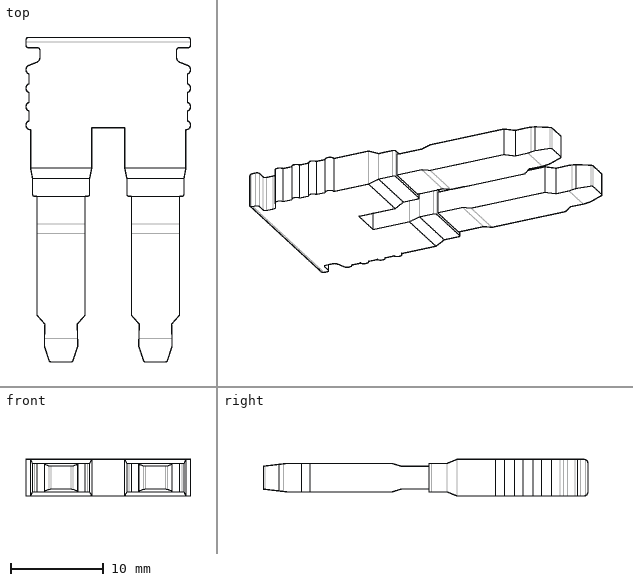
import cadquery as cq
import math

LENGTH = 35.1
BODY_THICKNESS = 4.0
HALF_WIDTH = 8.9

CAP_DEPTH = 1.15
CAP_CORNER_RADIUS = 0.3
CAP_EDGE_RADIUS = 0.5

WAIST_HALF_WIDTH = 7.4
WAIST_CAP_FILLET = 0.25
WAIST_RIB_FILLET = 0.5
SHOULDER_ANGLE = 22.0

RIB_COUNT = 4
RIB_RADIUS = 0.5
RIB_PITCH = 2.0
FIRST_RIB_DEPTH = 3.5
RIB_VALLEY_HALF_WIDTH = 8.57
RIB_CENTER_X = HALF_WIDTH - RIB_RADIUS

SLOT_WIDTH = 3.54
SLOT_TOP_DEPTH = 9.8
LEG_END_DEPTH = 14.15

COLLAR_START_DEPTH = 15.25
COLLAR_END_DEPTH = 17.2
COLLAR_WIDTH = 6.2
COLLAR_CORNER_RADIUS = 0.25

PIN_PITCH = 10.2
PIN_WIDTH = 5.2
PIN_THICKNESS = 3.1
THIN_THICKNESS = 2.5
RAMP_START_DEPTH = 20.2
RAMP_END_DEPTH = 21.2
NECK_START_DEPTH = 30.05
NECK_END_DEPTH = 31.0
NECK_WIDTH = 3.52
TIP_BASE_DEPTH = 32.9
TIP_BASE_WIDTH = 3.62
TIP_BEVEL_DEPTH = 32.55
TIP_TAPER_DEPTH = 33.4
TIP_WIDTH = 2.5
TIP_CORNER_RADIUS = 0.25


def extrude_mid(sketch, thickness):
    """Extrude an XY outline symmetrically about Z = 0."""
    return sketch.extrude(thickness / 2, both=True)


def body_half():
    """Right half (X > 0) of the grip body with its cap, waist and ribs."""
    shoulder = math.radians(SHOULDER_ANGLE)
    shoulder_x = RIB_CENTER_X + RIB_RADIUS * math.sin(shoulder)
    shoulder_depth = FIRST_RIB_DEPTH - RIB_RADIUS * math.cos(shoulder)
    waist_end_depth = shoulder_depth - (shoulder_x - WAIST_HALF_WIDTH) * math.tan(shoulder)
    half_chord = math.sqrt(RIB_RADIUS**2 - (RIB_VALLEY_HALF_WIDTH - RIB_CENTER_X) ** 2)

    outline = (
        cq.Workplane("XY")
        .lineTo(HALF_WIDTH, 0)
        .lineTo(HALF_WIDTH, -CAP_DEPTH)
        .lineTo(WAIST_HALF_WIDTH, -CAP_DEPTH)
        .lineTo(WAIST_HALF_WIDTH, -waist_end_depth)
        .lineTo(shoulder_x, -shoulder_depth)
    )
    for index in range(RIB_COUNT):
        rib_depth = FIRST_RIB_DEPTH + index * RIB_PITCH
        if index > 0:
            outline = outline.lineTo(RIB_VALLEY_HALF_WIDTH, -(rib_depth - half_chord))
        crest = (HALF_WIDTH, -rib_depth)
        if index < RIB_COUNT - 1:
            outline = outline.threePointArc(crest, (RIB_VALLEY_HALF_WIDTH, -(rib_depth + half_chord)))
        else:
            outline = outline.threePointArc(crest, (RIB_CENTER_X, -(rib_depth + RIB_RADIUS)))
    outline = (
        outline.lineTo(RIB_CENTER_X, -LEG_END_DEPTH)
        .lineTo(SLOT_WIDTH / 2, -LEG_END_DEPTH)
        .lineTo(SLOT_WIDTH / 2, -SLOT_TOP_DEPTH)
        .lineTo(0, -SLOT_TOP_DEPTH)
        .close()
    )
    half = extrude_mid(outline, BODY_THICKNESS)

    def round_edge(solid, x, depth, radius):
        edge = cq.selectors.NearestToPointSelector((x, -depth, 0))
        return solid.edges("|Z").edges(edge).fillet(radius)

    half = round_edge(half, HALF_WIDTH, 0, CAP_CORNER_RADIUS)
    half = round_edge(half, HALF_WIDTH, CAP_DEPTH, CAP_CORNER_RADIUS)
    half = round_edge(half, WAIST_HALF_WIDTH, CAP_DEPTH, WAIST_CAP_FILLET)
    return round_edge(half, WAIST_HALF_WIDTH, waist_end_depth, WAIST_RIB_FILLET)


def rounded_cap_envelope():
    """Bar around the whole body whose long grip-end edges are rounded."""
    return (
        cq.Workplane("XY")
        .box(2 * HALF_WIDTH, LEG_END_DEPTH, BODY_THICKNESS)
        .translate((0, -LEG_END_DEPTH / 2, 0))
        .edges("|X and >Y")
        .fillet(CAP_EDGE_RADIUS)
    )


def collar():
    """Tapered transition from the right leg down to its straight collar."""
    leg_width = RIB_CENTER_X - SLOT_WIDTH / 2
    leg_center = (RIB_CENTER_X + SLOT_WIDTH / 2) / 2
    taper = (
        cq.Workplane("XZ", origin=(0, -LEG_END_DEPTH, 0))
        .center(leg_center, 0)
        .rect(leg_width, BODY_THICKNESS)
        .workplane(offset=COLLAR_START_DEPTH - LEG_END_DEPTH)
        .center(PIN_PITCH / 2 - leg_center, 0)
        .rect(COLLAR_WIDTH, PIN_THICKNESS)
        .loft(ruled=True)
    )
    straight = (
        cq.Workplane("XZ", origin=(PIN_PITCH / 2, -COLLAR_START_DEPTH, 0))
        .rect(COLLAR_WIDTH, PIN_THICKNESS)
        .extrude(COLLAR_END_DEPTH - COLLAR_START_DEPTH)
        .edges("|Z and <Y")
        .fillet(COLLAR_CORNER_RADIUS)
    )
    return taper.union(straight)


def pin():
    """Right contact pin: plan outline intersected with its side profile."""
    plan_right = [
        (PIN_WIDTH / 2, -COLLAR_END_DEPTH),
        (PIN_WIDTH / 2, -NECK_START_DEPTH),
        (NECK_WIDTH / 2, -NECK_END_DEPTH),
        (TIP_BASE_WIDTH / 2, -TIP_BASE_DEPTH),
        (TIP_BASE_WIDTH / 2, -TIP_TAPER_DEPTH),
        (TIP_WIDTH / 2, -LENGTH),
    ]
    plan_left = [(-x, y) for x, y in reversed(plan_right)]
    plan = extrude_mid(cq.Workplane("XY").polyline(plan_right + plan_left).close(), PIN_THICKNESS)
    plan = plan.edges("|Z and <Y").fillet(TIP_CORNER_RADIUS)

    side_top = [
        (-COLLAR_END_DEPTH, THIN_THICKNESS / 2),
        (-RAMP_START_DEPTH, THIN_THICKNESS / 2),
        (-RAMP_END_DEPTH, PIN_THICKNESS / 2),
        (-TIP_BEVEL_DEPTH, PIN_THICKNESS / 2),
        (-LENGTH, THIN_THICKNESS / 2),
    ]
    side_bottom = [(y, -z) for y, z in reversed(side_top)]
    side = cq.Workplane("YZ").polyline(side_top + side_bottom).close().extrude(PIN_WIDTH / 2, both=True)
    return plan.intersect(side).translate((PIN_PITCH / 2, 0, 0))


right_half = body_half().intersect(rounded_cap_envelope()).union(collar()).union(pin())
result = right_half.union(right_half.mirror("YZ"))